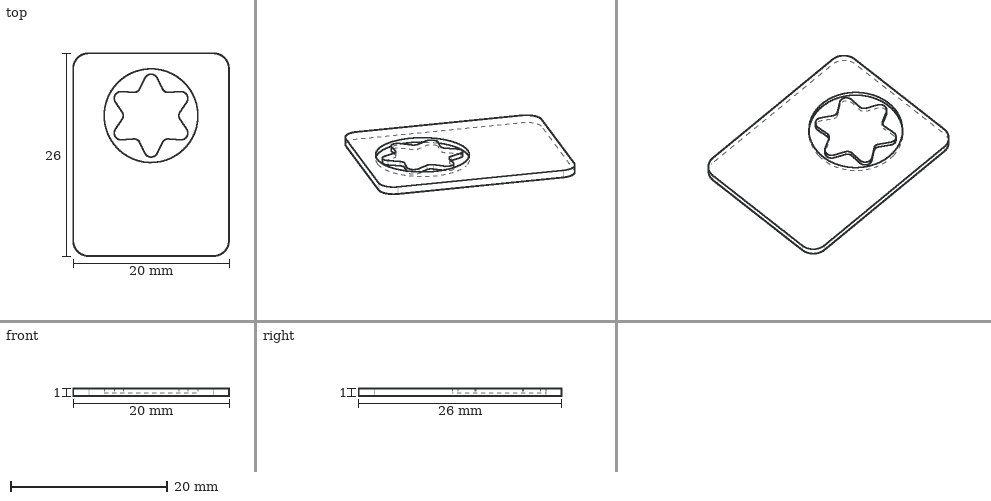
import cadquery as cq
import math

plate_width = 20.0
plate_length = 26
plate_thickness = 1.0
corner_radius = 2.0

recess_diameter = 12.0
recess_offset = 5.0
recess_depth = 0.6

lobe_count = 6
tip_radius = 5.3
root_radius = 3.55
lobe_round = 0.88
valley_round = 0.78


def polar(radius, angle):
    return (radius * math.cos(angle), radius * math.sin(angle))


def flank_points(lobe_angle, side):
    """Ends of the straight flank on one side (+1 or -1) of a lobe: (on lobe, on valley).

    The flank is the crossing tangent of the lobe circle and the valley circle.
    """
    lobe_x, lobe_y = polar(tip_radius - lobe_round, lobe_angle)
    valley_angle = lobe_angle + side * math.pi / lobe_count
    valley_x, valley_y = polar(root_radius + valley_round, valley_angle)
    spacing = math.hypot(valley_x - lobe_x, valley_y - lobe_y)
    centre_line = math.atan2(valley_y - lobe_y, valley_x - lobe_x)
    normal = centre_line - side * math.acos((lobe_round + valley_round) / spacing)
    lobe_dx, lobe_dy = polar(lobe_round, normal)
    valley_dx, valley_dy = polar(valley_round, normal)
    on_lobe = (lobe_x + lobe_dx, lobe_y + lobe_dy)
    on_valley = (valley_x - valley_dx, valley_y - valley_dy)
    return on_lobe, on_valley


def make_plate():
    plate = cq.Workplane("XY").box(
        plate_width, plate_length, plate_thickness, centered=(True, True, False)
    )
    return plate.edges("|Z").fillet(corner_radius)


def make_island():
    lobe_step = 2 * math.pi / lobe_count
    first_angle = math.pi / 2
    outline = cq.Workplane("XY").moveTo(*flank_points(first_angle, -1)[0])
    for index in range(lobe_count):
        lobe_angle = first_angle + index * lobe_step
        lobe_end, valley_start = flank_points(lobe_angle, 1)
        next_lobe_start, valley_end = flank_points(lobe_angle + lobe_step, -1)
        outline = (
            outline.threePointArc(polar(tip_radius, lobe_angle), lobe_end)
            .lineTo(*valley_start)
            .threePointArc(polar(root_radius, lobe_angle + lobe_step / 2), valley_end)
            .lineTo(*next_lobe_start)
        )
    return outline.close().extrude(recess_depth)


def make_recess():
    disc = cq.Workplane("XY").circle(recess_diameter / 2).extrude(recess_depth)
    ring = disc.cut(make_island())
    return ring.translate((0, recess_offset, plate_thickness - recess_depth))


result = make_plate().cut(make_recess())